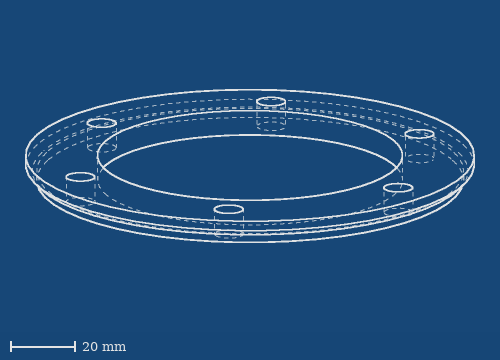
import cadquery as cq

outer_diameter = 139.7
bore_diameter = 95.0
total_height = 8.0

rim_height = 5.0
rim_chamfer = 2.0
spigot_diameter = 133.0
spigot_height = total_height - rim_height

hole_count = 6
hole_diameter = 9.0
bolt_circle_diameter = 115.0


def ring_body():
    """Spigot with the larger rim on top, chamfered on the rim's lower edge."""
    spigot = cq.Workplane("XY").circle(spigot_diameter / 2).extrude(spigot_height)
    rim = (
        cq.Workplane("XY")
        .workplane(offset=spigot_height)
        .circle(outer_diameter / 2)
        .extrude(rim_height)
        .faces("<Z")
        .chamfer(rim_chamfer)
    )
    return spigot.union(rim)


def through_openings():
    """Central bore and the evenly spaced bolt holes, as solids to cut away."""
    bore = cq.Workplane("XY").circle(bore_diameter / 2).extrude(total_height)
    holes = (
        cq.Workplane("XY")
        .polarArray(bolt_circle_diameter / 2, 0, 360, hole_count)
        .circle(hole_diameter / 2)
        .extrude(total_height)
    )
    return bore.union(holes)


result = ring_body().cut(through_openings())